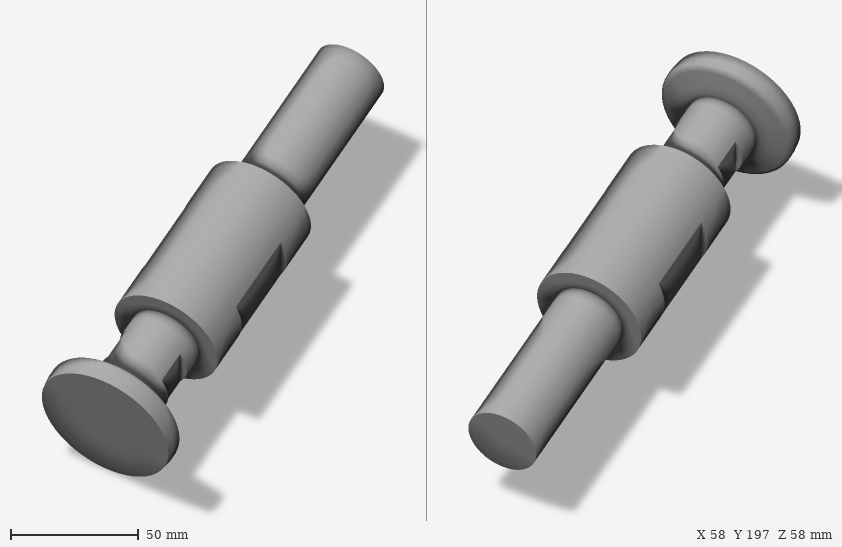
import cadquery as cq

TOTAL_LENGTH = 197.0

ROD_DIAMETER = 30.0
HEAD_DIAMETER = 58.0
HEAD_FACE_DIAMETER = 56.7
HEAD_TAPER_LENGTH = 4.1
HEAD_RIM_END = 9.3
HEAD_LENGTH = 12.0
HEAD_ROUNDING = 2.5
ROD_FLAT_START = 23.8
ROD_FLAT_LENGTH = 15.0
ROD_ACROSS_FLATS = 24.0

SLEEVE_DIAMETER = 46.0
SLEEVE_START = 48.9
SLEEVE_LENGTH = 75.0
SLEEVE_FLAT_LENGTH = 36.0
SLEEVE_ACROSS_FLATS = 41.0
SLEEVE_FLAT_START = SLEEVE_START + (SLEEVE_LENGTH - SLEEVE_FLAT_LENGTH) / 2


def cylinder(diameter, start, length):
    """Solid cylinder along +Y, beginning at the given Y."""
    base = cq.Workplane("XZ", origin=(0, start, 0))
    return base.circle(diameter / 2).extrude(-length)


def cut_wrench_flats(body, diameter, across_flats, start, length):
    """Cut two parallel flats into the -X and +X sides of a round body."""
    depth = (diameter - across_flats) / 2
    for side in (-1, 1):
        cutter = cq.Workplane("XY").box(2 * depth, length, diameter)
        cutter = cutter.translate((side * diameter / 2, start + length / 2, 0))
        body = body.cut(cutter)
    return body


def make_plunger():
    profile = [
        (0, 0),
        (HEAD_FACE_DIAMETER / 2, 0),
        (HEAD_DIAMETER / 2, HEAD_TAPER_LENGTH),
        (HEAD_DIAMETER / 2, HEAD_RIM_END),
        (ROD_DIAMETER / 2, HEAD_LENGTH),
        (ROD_DIAMETER / 2, TOTAL_LENGTH),
        (0, TOTAL_LENGTH),
    ]
    body = cq.Workplane("XY").polyline(profile).close().revolve(360, (0, 0), (0, 1))
    rim_corner = cq.selectors.NearestToPointSelector((0, HEAD_RIM_END, 0))
    body = body.edges("%CIRCLE").edges(rim_corner).fillet(HEAD_ROUNDING)
    return cut_wrench_flats(body, ROD_DIAMETER, ROD_ACROSS_FLATS, ROD_FLAT_START, ROD_FLAT_LENGTH)


def make_sleeve():
    body = cylinder(SLEEVE_DIAMETER, SLEEVE_START, SLEEVE_LENGTH)
    body = body.cut(cylinder(ROD_DIAMETER, SLEEVE_START, SLEEVE_LENGTH))
    return cut_wrench_flats(
        body, SLEEVE_DIAMETER, SLEEVE_ACROSS_FLATS, SLEEVE_FLAT_START, SLEEVE_FLAT_LENGTH
    )


plunger = make_plunger()
sleeve = make_sleeve()
result = cq.Compound.makeCompound([plunger.val(), sleeve.val()])